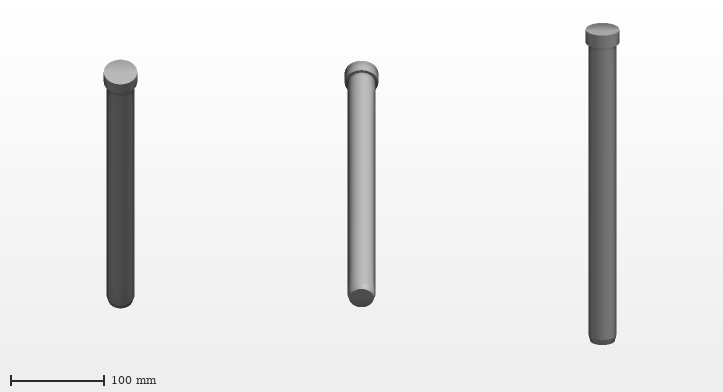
import cadquery as cq

total_length = 360.0
head_diameter = 36.0
head_height = 15.0
shank_diameter = 30.0
groove_width = 1.0
groove_depth = 0.5
tip_diameter = 26.3
tip_length = 7.0

head_radius = head_diameter / 2
shank_radius = shank_diameter / 2
groove_radius = shank_radius - groove_depth
tip_radius = tip_diameter / 2
head_underside = total_length - head_height
groove_bottom = head_underside - groove_width

profile = (
    cq.Workplane("XZ")
    .lineTo(tip_radius, 0)
    .lineTo(shank_radius, tip_length)
    .lineTo(shank_radius, groove_bottom)
    .lineTo(groove_radius, groove_bottom)
    .lineTo(groove_radius, head_underside)
    .lineTo(head_radius, head_underside)
    .lineTo(head_radius, total_length)
    .lineTo(0, total_length)
    .close()
)

result = profile.revolve(360, (0, 0, 0), (0, 1, 0))